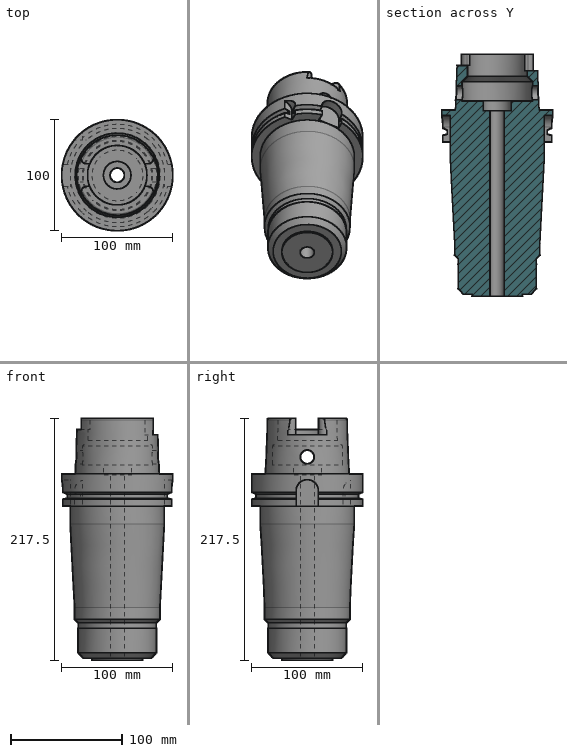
import cadquery as cq

length = 217.5

shank_length = 50.0
shank_base_radius = 37.8
shank_end_radius = 35.9
shank_end_round = 1.5

flange_radius = 50.0
flange_height = 29.0
groove_floor_radius = 46.0
groove_drop = 16.5
groove_mouth = 6.3
groove_floor_height = 3.5
groove_upper_bevel = 1.7

body_radius = 42.5
body_straight_height = 16.0
neck_radius = 38.5
neck_bottom_z = 36.7
neck_height = 10.9
collar_radius = 35.2
collar_top_z = 33.5
sleeve_radius = 35.5
sleeve_top_z = 28.7
collar_bevel_z = 7.0
collar_bottom_radius = 30.7
nose_radius = 22.8
nose_height = 1.7

mouth_radius = 26.7
mouth_depth = 20.0
chamber_radius = 31.5
chamber_depth = 42.0
chamber_bevel = chamber_radius - mouth_radius
coolant_seat_radius = 12.5
coolant_seat_depth = 8.7
through_radius = 6.3
cross_hole_radius = 6.0
cross_hole_drop = 34.8

drive_slot_width = 20.2
drive_slot_depth_minus_x = 10.0
drive_slot_depth_plus_x = 14.8
key_circle_radius = 36.3
key_corner_radius = 5.0

flange_slot_width = 20.0
flange_slot_drop = 5.2
flange_slot_floor_x = 42.5
notch_wall_y = 31.7
notch_floor_x = 31.5

flange_top_z = length - shank_length
flange_bottom_z = flange_top_z - flange_height


def turned_body():
    groove_top_z = flange_top_z - groove_drop
    groove_floor_top_z = groove_top_z - groove_upper_bevel
    outline = [
        (0, 0),
        (nose_radius, 0),
        (nose_radius, nose_height),
        (collar_bottom_radius, nose_height),
        (sleeve_radius, collar_bevel_z),
        (sleeve_radius, sleeve_top_z),
        (collar_radius, sleeve_top_z),
        (collar_radius, collar_top_z),
        (neck_radius, neck_bottom_z),
        (neck_radius, neck_bottom_z + neck_height),
        (body_radius, flange_bottom_z - body_straight_height),
        (body_radius, flange_bottom_z),
        (flange_radius, flange_bottom_z),
        (flange_radius, groove_top_z - groove_mouth),
        (groove_floor_radius, groove_floor_top_z - groove_floor_height),
        (groove_floor_radius, groove_floor_top_z),
        (flange_radius, groove_top_z),
        (flange_radius, flange_top_z),
        (shank_base_radius, flange_top_z),
        (shank_end_radius, length),
        (0, length),
    ]
    body = cq.Workplane("XZ").polyline(outline).close().revolve(360, (0, 0), (0, 1))
    return body.faces(">Z").edges().fillet(shank_end_round)


def bores():
    seat_z = length - chamber_depth - coolant_seat_depth
    chamber_top_z = length - mouth_depth
    outline = [
        (0, 0),
        (through_radius, 0),
        (through_radius, seat_z),
        (coolant_seat_radius, seat_z),
        (coolant_seat_radius, length - chamber_depth),
        (chamber_radius, length - chamber_depth),
        (chamber_radius, chamber_top_z - chamber_bevel),
        (mouth_radius, chamber_top_z),
        (mouth_radius, length),
        (0, length),
    ]
    return cq.Workplane("XZ").polyline(outline).close().revolve(360, (0, 0), (0, 1))


def cross_hole():
    return (
        cq.Workplane("YZ", origin=(0, 0, length - cross_hole_drop))
        .circle(cross_hole_radius)
        .extrude(shank_base_radius, both=True)
    )


def drive_slot(side, depth):
    """Slot from the axis out through the shank wall (side -1 or +1 along X), flared at the keys."""
    keys = (
        cq.Workplane("XY")
        .circle(key_circle_radius)
        .extrude(depth)
        .cut(cq.Workplane("XY").box(2 * flange_radius, drive_slot_width, 2 * depth))
        .edges("|Z")
        .fillet(key_corner_radius)
    )
    corner_center_y = drive_slot_width / 2 + key_corner_radius
    flare_y = corner_center_y * key_circle_radius / (key_circle_radius - key_corner_radius)
    opening = (
        cq.Workplane("XY")
        .box(flange_radius, 2 * flare_y, depth, centered=(True, True, False))
        .translate((side * flange_radius / 2, 0, 0))
    )
    return opening.cut(keys).translate((0, 0, length - depth))


def flange_slot(side, floor_x, center_y):
    """Slot milled along X from outside to floor_x, round at the top and open below."""
    crown_radius = flange_slot_width / 2
    crown_center_z = flange_top_z - flange_slot_drop - crown_radius
    straight = crown_center_z - flange_bottom_z
    profile = (
        cq.Workplane("YZ", origin=(side * floor_x, center_y, flange_bottom_z))
        .moveTo(-crown_radius, 0)
        .lineTo(-crown_radius, straight)
        .threePointArc((0, straight + crown_radius), (crown_radius, straight))
        .lineTo(crown_radius, 0)
        .close()
    )
    return profile.extrude(side * flange_radius)


result = turned_body()
for side, depth in ((-1, drive_slot_depth_minus_x), (1, drive_slot_depth_plus_x)):
    result = result.cut(drive_slot(side, depth))
result = result.cut(bores()).cut(cross_hole())
for side in (-1, 1):
    result = result.cut(flange_slot(side, flange_slot_floor_x, 0))
result = result.cut(flange_slot(-1, notch_floor_x, notch_wall_y + flange_slot_width / 2))